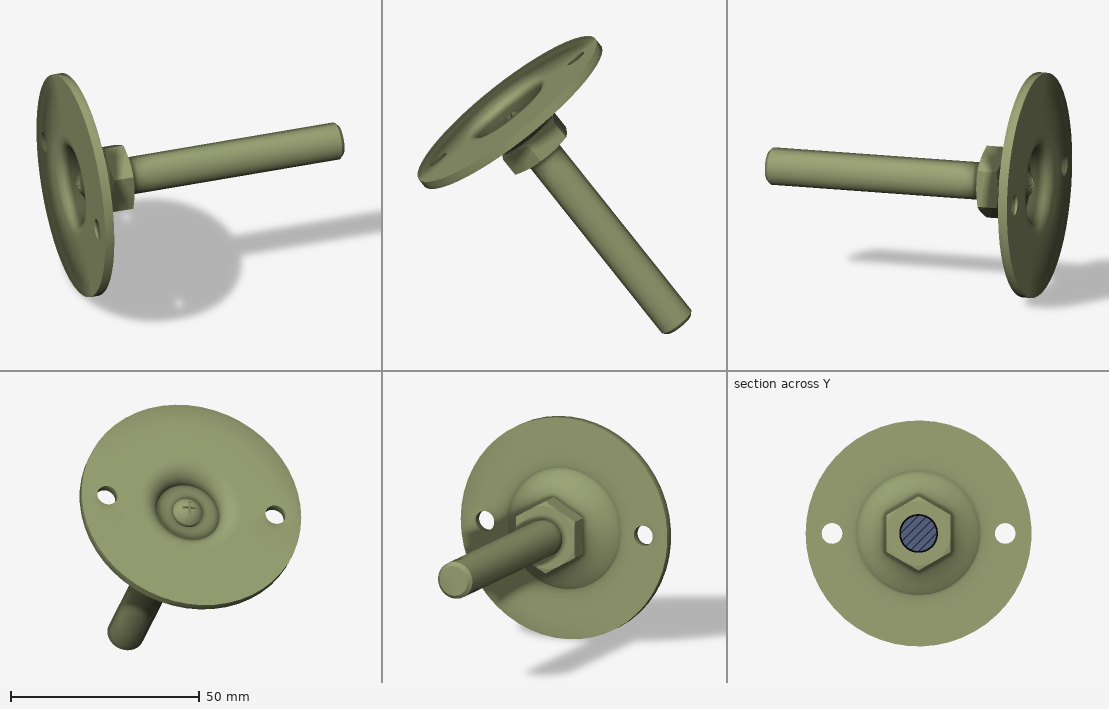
import cadquery as cq
import math

total_length = 75

plate_diameter = 60
plate_thickness = 2.5
screw_hole_diameter = 5.5
screw_hole_spacing = 46.0

cone_base_diameter = 32.8
collar_diameter = 16.2
cone_top = 8.4

nut_start = 9
nut_thickness = 6
nut_width = 17.0
nut_chamfer_angle = 15

stem_diameter = 10.0
stem_chamfer = 1.0

recess_floor_diameter = 17.0
recess_depth = 5.0
recess_mouth_diameter = recess_floor_diameter + 2 * recess_depth

head_diameter = 8.0
head_rim_height = 1.0
dome_height = 2.3
slot_length = 4.0
slot_width = 0.7
slot_depth = 0.75


def turned(profile):
    """Revolve an XY profile a full turn about the Y axis."""
    return profile.close().revolve(360, (0, 0, 0), (0, 1, 0))


def along_y(start):
    """Workplane facing +Y at the given height."""
    return cq.Workplane("XZ", origin=(0, start, 0))


def make_base():
    plate_radius = plate_diameter / 2
    collar_radius = collar_diameter / 2
    return turned(
        cq.Workplane("XY")
        .lineTo(plate_radius, 0)
        .lineTo(plate_radius, plate_thickness)
        .lineTo(cone_base_diameter / 2, plate_thickness)
        .lineTo(collar_radius, cone_top)
        .lineTo(collar_radius, nut_start)
        .lineTo(0, nut_start)
    )


def make_recess():
    """Recess whose wall is a convex quarter arc flaring out to the mounting face."""
    floor_radius = recess_floor_diameter / 2
    mouth_radius = recess_mouth_diameter / 2
    arc_offset = recess_depth * math.sqrt(0.5)
    return turned(
        cq.Workplane("XY")
        .lineTo(mouth_radius, 0)
        .threePointArc(
            (mouth_radius - arc_offset, recess_depth - arc_offset),
            (floor_radius, recess_depth),
        )
        .lineTo(0, recess_depth)
    )


def make_screw_holes():
    return (
        along_y(0)
        .pushPoints([(-screw_hole_spacing / 2, 0), (screw_hole_spacing / 2, 0)])
        .circle(screw_hole_diameter / 2)
        .extrude(-plate_thickness)
    )


def make_nut():
    """Hexagon with flats facing X, its corners bevelled at both ends."""
    corner_diameter = nut_width / math.cos(math.pi / 6)
    nut_end = nut_start + nut_thickness
    hexagon = (
        along_y(nut_start)
        .polygon(6, corner_diameter)
        .extrude(-nut_thickness)
        .rotate((0, 0, 0), (0, 1, 0), 30)
    )
    face_radius = nut_width / 2
    corner_radius = corner_diameter / 2
    bevel_height = (corner_radius - face_radius) * math.tan(math.radians(nut_chamfer_angle))
    envelope = turned(
        cq.Workplane("XY")
        .moveTo(0, nut_start)
        .lineTo(face_radius, nut_start)
        .lineTo(corner_radius, nut_start + bevel_height)
        .lineTo(corner_radius, nut_end - bevel_height)
        .lineTo(face_radius, nut_end)
        .lineTo(0, nut_end)
    )
    return hexagon.intersect(envelope)


def make_stem():
    return (
        along_y(nut_start)
        .circle(stem_diameter / 2)
        .extrude(nut_start - total_length)
        .faces(">Y")
        .chamfer(stem_chamfer)
    )


def make_head():
    head_radius = head_diameter / 2
    dome_base = recess_depth - head_rim_height
    dome_tip = dome_base - dome_height
    dome_radius = (head_radius**2 + dome_height**2) / (2 * dome_height)
    half_angle = math.asin(head_radius / dome_radius) / 2
    dome_middle = (
        dome_radius * math.sin(half_angle),
        dome_tip + dome_radius * (1 - math.cos(half_angle)),
    )
    head = turned(
        cq.Workplane("XY")
        .moveTo(0, recess_depth)
        .lineTo(head_radius, recess_depth)
        .lineTo(head_radius, dome_base)
        .threePointArc(dome_middle, (0, dome_tip))
    )
    for length_x, length_z in [(slot_length, slot_width), (slot_width, slot_length)]:
        slot = along_y(dome_tip).rect(length_x, length_z).extrude(-slot_depth)
        head = head.cut(slot)
    return head


base = make_base().cut(make_recess()).cut(make_screw_holes())
result = base.union(make_nut()).union(make_stem()).union(make_head())